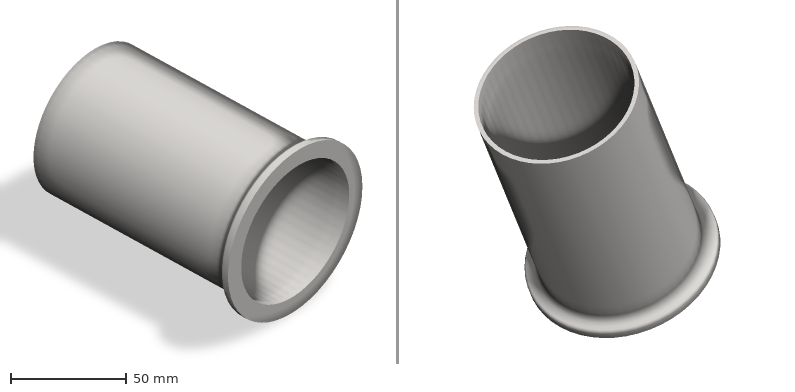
import cadquery as cq
import math

length = 120.0
bore_radius = 70.0 / 2
tube_radius = 74.0 / 2
flange_radius = 87.0 / 2
rim_width = 3.0
rim_round = 1.5
neck_fillet = 2.4
flange_slope = math.radians(15)

slope_sin = math.sin(flange_slope)
slope_cos = math.cos(flange_slope)
start_x = -length / 2
end_x = length / 2


def on_arc(center, radius, angle):
    """Point on a circle in the (axial, radial) half-plane."""
    return (
        center[0] + radius * math.cos(angle),
        center[1] + radius * math.sin(angle),
    )


rim_x = end_x - rim_width
rim_center = (rim_x, flange_radius - rim_round)
slope_normal = math.pi - flange_slope
slope_top = on_arc(rim_center, rim_round, slope_normal)
rim_middle = on_arc(rim_center, rim_round, (math.pi / 2 + slope_normal) / 2)

slope_bottom_radius = tube_radius + neck_fillet * (1 - slope_sin)
slope_run = (slope_top[1] - slope_bottom_radius) * math.tan(flange_slope)
slope_bottom = (slope_top[0] - slope_run, slope_bottom_radius)
neck_x = slope_bottom[0] - neck_fillet * slope_cos
neck_center = (neck_x, tube_radius + neck_fillet)
neck_middle = on_arc(neck_center, neck_fillet, -(math.pi / 2 + flange_slope) / 2)

result = (
    cq.Workplane("XY")
    .moveTo(start_x, bore_radius)
    .lineTo(start_x, tube_radius)
    .lineTo(neck_x, tube_radius)
    .threePointArc(neck_middle, slope_bottom)
    .lineTo(*slope_top)
    .threePointArc(rim_middle, (rim_x, flange_radius))
    .lineTo(end_x, flange_radius)
    .lineTo(end_x, bore_radius)
    .close()
    .revolve(360, (0, 0, 0), (1, 0, 0))
)